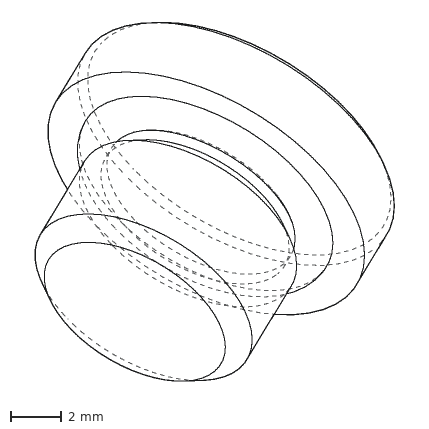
import cadquery as cq

flange_diameter = 14.0
flange_thickness = 3.01
flange_chamfer = 0.3

total_length = 9.5
plug_diameter = 9.6
tip_chamfer = 0.8
plug_length = 5.49
neck_diameter = 8.32

ring_outer_diameter = 11.2
ring_section_radius = 0.8

flange_radius = flange_diameter / 2
plug_radius = plug_diameter / 2
neck_radius = neck_diameter / 2
shoulder_chamfer = plug_radius - neck_radius
back_y = total_length / 2
tip_y = -back_y
flange_face_y = back_y - flange_thickness
neck_y = tip_y + plug_length

body = (
    cq.Workplane("XY")
    .moveTo(0, tip_y)
    .lineTo(plug_radius - tip_chamfer, tip_y)
    .lineTo(plug_radius, tip_y + tip_chamfer)
    .lineTo(plug_radius, neck_y - shoulder_chamfer)
    .lineTo(neck_radius, neck_y)
    .lineTo(neck_radius, flange_face_y)
    .lineTo(flange_radius, flange_face_y)
    .lineTo(flange_radius, back_y - flange_chamfer)
    .lineTo(flange_radius - flange_chamfer, back_y)
    .lineTo(0, back_y)
    .close()
    .revolve(360, (0, 0, 0), (0, 1, 0))
)

ring_centre_radius = ring_outer_diameter / 2 - ring_section_radius
ring = (
    cq.Workplane("XY")
    .center(ring_centre_radius, flange_face_y)
    .circle(ring_section_radius)
    .revolve(360, (-ring_centre_radius, 0, 0), (-ring_centre_radius, 1, 0))
)

result = body.union(ring)